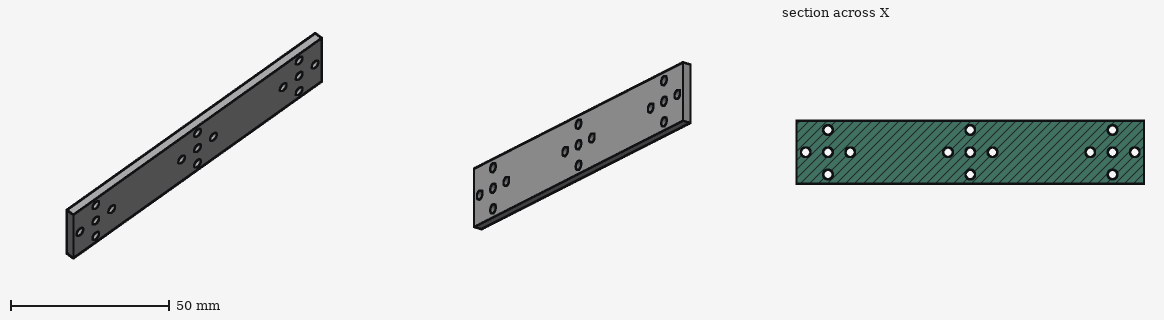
import cadquery as cq

thickness = 3.0
length = 110.0
height = 20.0

hole_diameter = 3.0
hole_spacing = 7.0
cluster_pitch = 45.0

cross_offsets = [
    (0, 0),
    (hole_spacing, 0),
    (-hole_spacing, 0),
    (0, hole_spacing),
    (0, -hole_spacing),
]
cluster_centers = [-cluster_pitch, 0, cluster_pitch]
hole_positions = [(center + y, z) for center in cluster_centers for y, z in cross_offsets]

plate = cq.Workplane("XY").box(thickness, length, height)

result = plate.faces(">X").workplane().pushPoints(hole_positions).hole(hole_diameter)